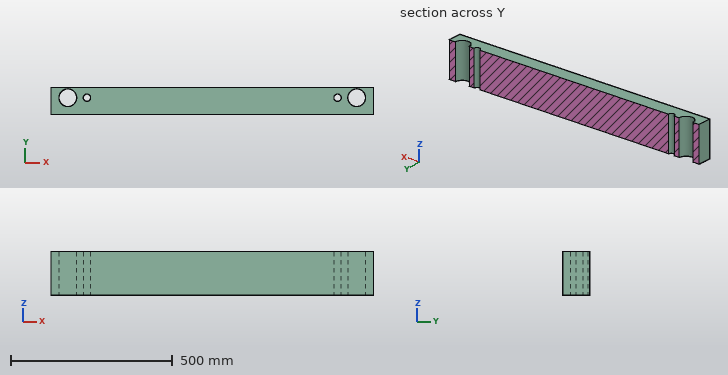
import cadquery as cq

length = 996.0
width = 84.0
height = 136.0

hole_row_y = 10.0
large_hole_diameter = 54.0
large_hole_spacing = 892.0
small_hole_diameter = 22.0
small_hole_spacing = 774.0


def drill_pair(body, diameter, spacing):
    """Drill two vertical through holes, symmetric about X = 0."""
    centres = [(-spacing / 2, hole_row_y), (spacing / 2, hole_row_y)]
    return body.faces(">Z").workplane(origin=(0, 0, 0)).pushPoints(centres).hole(diameter)


bar = cq.Workplane("XY").box(length, width, height)
bar = drill_pair(bar, large_hole_diameter, large_hole_spacing)
result = drill_pair(bar, small_hole_diameter, small_hole_spacing)